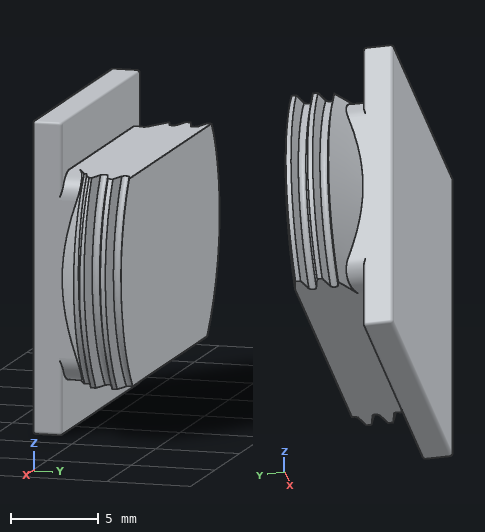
import cadquery as cq
import math

plate_width = 16.05
plate_height = 18.35
plate_thickness = 1.77
edge_radius = 0.2

overall_depth = 5.83
crest_radius = 10.56
plug_height = 12.25
cone_angle = 35.0

neck_corner_radius = 1.52
neck_end = 2.95

pitch = 1.27
thread_depth = 0.89
crest_land = 0.3
root_width = 0.35
root_rounding = 0.13
groove_start = 1.77
turns = 4
cutter_clearance = 0.21


def make_plate():
    plate = cq.Workplane("XY").box(plate_width, plate_thickness, plate_height)
    plate = plate.edges().fillet(edge_radius)
    return plate.translate((0, plate_thickness / 2, 0))


def make_neck():
    """Rounded block, starting where the rear edge rounding of the plate starts."""
    start = plate_thickness - edge_radius
    length = neck_end - start
    neck = cq.Workplane("XY").box(plate_width, length, plug_height)
    neck = neck.edges("|Y").fillet(neck_corner_radius)
    return neck.translate((0, start + length / 2, 0))


def make_plug_blank():
    """Cone widening from the plate sides to the crests, trimmed flat at top and bottom."""
    cone_radius = plate_width / 2
    cone_rise = (crest_radius - cone_radius) * math.tan(math.radians(cone_angle))
    blank = (
        cq.Workplane("XY")
        .moveTo(0, plate_thickness)
        .lineTo(cone_radius, plate_thickness)
        .lineTo(crest_radius, plate_thickness + cone_rise)
        .lineTo(crest_radius, overall_depth)
        .lineTo(0, overall_depth)
        .close()
        .revolve(360, (0, 0, 0), (0, 1, 0))
    )
    trim = cq.Workplane("XY").box(2 * crest_radius, 2 * overall_depth, plug_height)
    blank = blank.rotate((0, 0, 0), (0, 1, 0), 90)
    return blank.intersect(trim)


def make_groove_turn():
    """One turn of a V-shaped groove with a rounded root, swept along Z and then turned onto Y."""
    root_radius = crest_radius - thread_depth
    outer_radius = crest_radius + cutter_clearance
    root_half = root_width / 2
    mouth_half = (pitch - crest_land) / 2
    flank_slope = (mouth_half - root_half) / thread_depth
    outer_half = mouth_half + flank_slope * cutter_clearance
    shoulder_radius = root_radius + root_rounding
    shoulder_half = root_half + flank_slope * root_rounding

    path = cq.Wire.makeHelix(pitch, pitch, root_radius)
    cutter = (
        cq.Workplane("XZ")
        .moveTo(outer_radius, -outer_half)
        .lineTo(shoulder_radius, -shoulder_half)
        .threePointArc((root_radius, 0), (shoulder_radius, shoulder_half))
        .lineTo(outer_radius, outer_half)
        .close()
        .sweep(cq.Workplane(path), isFrenet=True)
    )
    cutter = cutter.rotate((0, 0, 0), (0, 0, 1), 90)
    cutter = cutter.translate((0, 0, groove_start + pitch / 4))
    return cutter.rotate((0, 0, 0), (1, 0, 0), -90)


plug = make_plug_blank()
groove_turn = make_groove_turn()
for turn in range(turns):
    plug = plug.cut(groove_turn.translate((0, turn * pitch, 0)))

result = plug.union(make_neck()).union(make_plate())